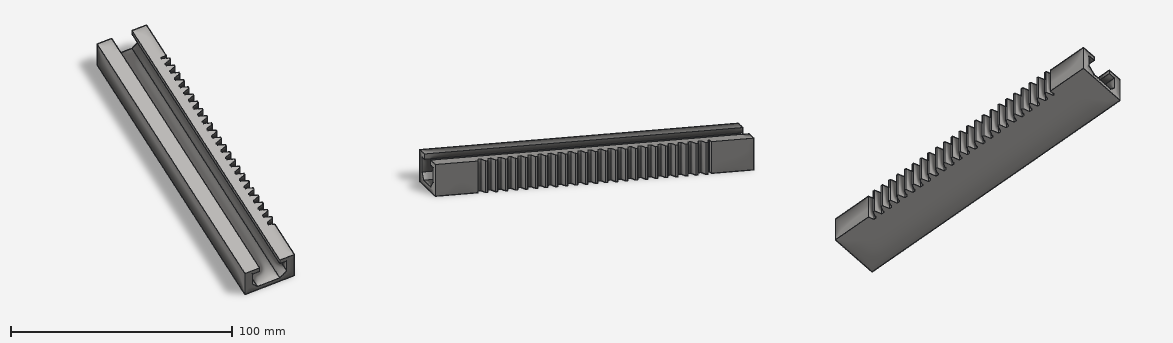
import cadquery as cq
import math

length = 150.0
rail_width = 25.0
height = 15.0
wall = 3.9
floor_thickness = 2.35
lip_thickness = 2.5
lip_width = 7.4
bevel_height = 3.15
front_bevel_width = 2.4
rack_bevel_width = 3.5

overall_width = 25.74
module = 1.5
pressure_angle = math.radians(20.0)
tooth_thinning = 0.32
tooth_count = 23
rack_start = 20.0
pitch = math.pi * module
first_tooth_x = rack_start + pitch / 2
addendum = module
dedendum = 1.25 * module
tip_y = overall_width
pitch_line_y = tip_y - addendum
root_y = pitch_line_y - dedendum
flank_slope = math.tan(pressure_angle)


def half_tooth_width(y):
    """Half the thickness of a tooth at the given Y."""
    nominal_half = (pitch / 2 - tooth_thinning) / 2
    return nominal_half - (y - pitch_line_y) * flank_slope


def make_rail():
    """Rectangular bar with a T-shaped channel that has a bevelled floor."""
    inner_front = wall
    inner_back = rail_width - wall
    lip_bottom = height - lip_thickness
    bevel_top = floor_thickness + bevel_height
    slot_front = lip_width
    slot_back = rail_width - lip_width
    return (
        cq.Workplane("YZ")
        .moveTo(0, 0)
        .lineTo(rail_width, 0)
        .lineTo(rail_width, height)
        .lineTo(slot_back, height)
        .lineTo(slot_back, lip_bottom)
        .lineTo(inner_back, lip_bottom)
        .lineTo(inner_back, bevel_top)
        .lineTo(inner_back - rack_bevel_width, floor_thickness)
        .lineTo(inner_front + front_bevel_width, floor_thickness)
        .lineTo(inner_front, bevel_top)
        .lineTo(inner_front, lip_bottom)
        .lineTo(slot_front, lip_bottom)
        .lineTo(slot_front, height)
        .lineTo(0, height)
        .close()
        .extrude(length)
    )


def make_rack_recess():
    """Pocket down to the tooth roots, ending on the flank of a tooth space."""
    end_tooth_x = first_tooth_x + tooth_count * pitch
    return (
        cq.Workplane("XY")
        .moveTo(rack_start, root_y)
        .lineTo(end_tooth_x - half_tooth_width(root_y), root_y)
        .lineTo(end_tooth_x - half_tooth_width(rail_width), rail_width)
        .lineTo(rack_start, rail_width)
        .close()
        .extrude(height)
    )


def make_tooth(center_x):
    """Straight-flanked rack tooth standing on the floor of the recess."""
    root_half = half_tooth_width(root_y)
    tip_half = half_tooth_width(tip_y)
    return (
        cq.Workplane("XY")
        .moveTo(center_x - root_half, root_y)
        .lineTo(center_x + root_half, root_y)
        .lineTo(center_x + tip_half, tip_y)
        .lineTo(center_x - tip_half, tip_y)
        .close()
        .extrude(height)
    )


result = make_rail().cut(make_rack_recess())
for index in range(tooth_count):
    result = result.union(make_tooth(first_tooth_x + index * pitch))